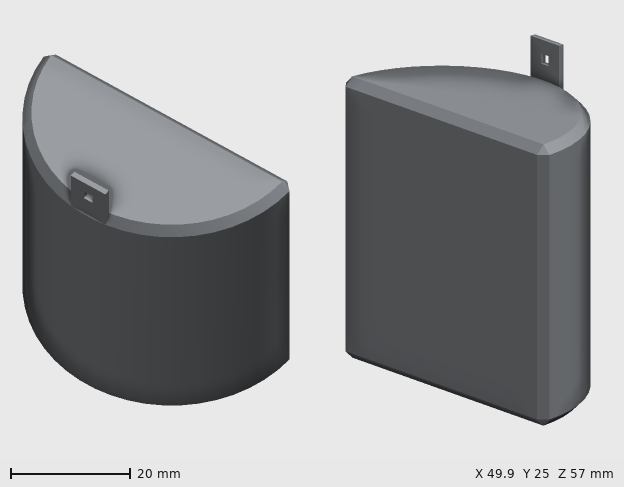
import cadquery as cq
import math

body_radius = 25.0
body_height = 50.0
edge_chamfer = 1.5

tab_width = 7.0
tab_rise = 7.0
tab_thickness = 1.0
tab_outer_y = -math.sqrt(body_radius**2 - (tab_width / 2)**2)
tab_base_z = body_height - edge_chamfer
tab_top_z = body_height + tab_rise

hole_side = 1.8
hole_height = 3.6
hole_center_z = body_height + hole_height


def box_spanning_y(width, outer_y, depth, bottom_z, top_z):
    """Box centred on X, running from outer_y towards +Y."""
    return cq.Workplane("XY").box(
        width, depth, top_z - bottom_z, centered=(True, False, False)
    ).translate((0, outer_y, bottom_z))


def make_body():
    """Half cylinder with every edge chamfered, including the upright ones."""
    half_cylinder = (
        cq.Workplane("XY")
        .moveTo(-body_radius, 0)
        .threePointArc((0, -body_radius), (body_radius, 0))
        .close()
        .extrude(body_height)
    )
    return half_cylinder.edges().chamfer(edge_chamfer)


def make_tab():
    """Flat plate with its square hole."""
    plate = box_spanning_y(tab_width, tab_outer_y, tab_thickness, tab_base_z, tab_top_z)
    hole = box_spanning_y(
        hole_side,
        tab_outer_y,
        tab_thickness,
        hole_center_z - hole_side / 2,
        hole_center_z + hole_side / 2,
    )
    return plate.cut(hole)


result = make_body().union(make_tab())